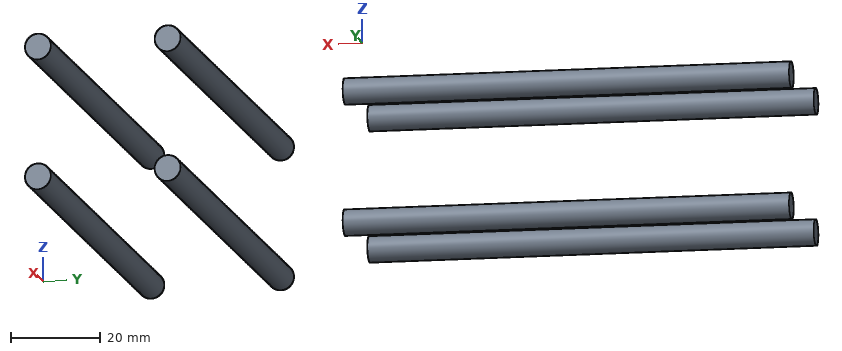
import cadquery as cq

rod_length = 101.6
rod_diameter = 6.0
rod_spacing = 30.0


def make_rod(y, z):
    """Plain round rod along X, centred on X = 0, with its axis at (y, z)."""
    return (
        cq.Workplane("YZ", origin=(-rod_length / 2, y, z))
        .circle(rod_diameter / 2)
        .extrude(rod_length)
    )


axis_offsets = (-rod_spacing / 2, rod_spacing / 2)
rods = [make_rod(y, z) for y in axis_offsets for z in axis_offsets]

result = cq.Compound.makeCompound([rod.val() for rod in rods])